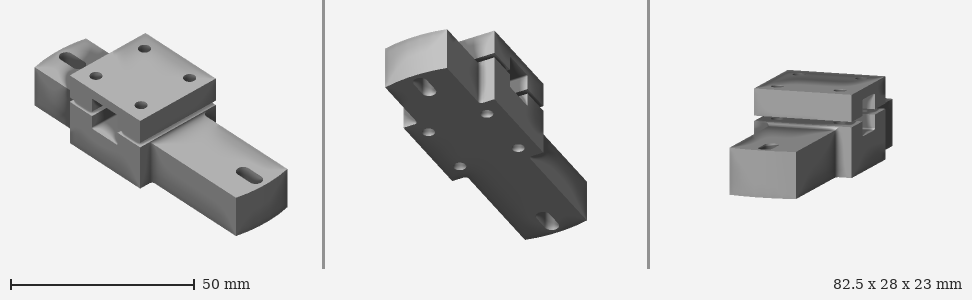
import cadquery as cq

end_diameter = 82.5
bar_width = 19.05
block_side = 28.0
block_center_x = -7.25
block_height = 14.0
fillet_radius = 1.0
bar_height = block_height - fillet_radius

plate_gap = 1.5
plate_thickness = 7.5
plate_bottom = block_height + plate_gap

channel_side = 10.2
channel_center_x = block_center_x - 0.1
channel_roof = 3.0
channel_top = plate_bottom + plate_thickness - channel_roof
channel_radius = 0.5

bolt_diameter = 3.55
bolt_spacing = 18.0
slot_length = 9.0
slot_width = 4.0
slot_spacing = 70.5


def block_at(bottom, height):
    """Square block in line with the clamp, standing on the given level."""
    return (
        cq.Workplane("XY", origin=(block_center_x, 0, bottom))
        .rect(block_side, block_side)
        .extrude(height)
    )


def make_channel():
    """Square bar with rounded corners that cuts both halves of the channel."""
    return (
        cq.Workplane("XY")
        .box(channel_side, block_side, channel_side)
        .edges("|Y")
        .fillet(channel_radius)
        .translate((channel_center_x, 0, channel_top - channel_side / 2))
    )


def make_bolt_holes():
    """Four cylinders through both bodies."""
    return (
        cq.Workplane("XY", origin=(block_center_x, 0, 0))
        .rect(bolt_spacing, bolt_spacing, forConstruction=True)
        .vertices()
        .circle(bolt_diameter / 2)
        .extrude(plate_bottom + plate_thickness)
    )


def make_bar():
    """Straight bar trimmed by a cylinder to give its rounded ends."""
    cylinder = cq.Workplane("XY").circle(end_diameter / 2).extrude(bar_height)
    bar = cq.Workplane("XY").rect(end_diameter, bar_width).extrude(bar_height)
    return bar.intersect(cylinder)


def make_collar():
    """Concave fillets on the top and sides of the bar at both block faces."""
    length = block_side + 2 * fillet_radius
    width = bar_width + 2 * fillet_radius
    collar = (
        cq.Workplane("XY", origin=(block_center_x, 0, 0))
        .rect(length, width)
        .extrude(block_height)
    )
    for side in (-1, 1):
        axis_x = block_center_x + side * length / 2
        side_rounds = (
            cq.Workplane("XY")
            .pushPoints([(axis_x, -width / 2), (axis_x, width / 2)])
            .circle(fillet_radius)
            .extrude(block_height)
        )
        top_round = (
            cq.Workplane("XZ", origin=(axis_x, width / 2, block_height))
            .circle(fillet_radius)
            .extrude(width)
        )
        collar = collar.cut(side_rounds).cut(top_round)
    return collar


def make_slots():
    """Mounting slots near the two ends of the bar."""
    return (
        cq.Workplane("XY")
        .pushPoints([(-slot_spacing / 2, 0), (slot_spacing / 2, 0)])
        .slot2D(slot_length, slot_width)
        .extrude(bar_height)
    )


def make_base():
    """Bar and lower clamp block in one piece."""
    body = make_bar().union(make_collar()).union(block_at(0, block_height))
    return body.cut(make_slots()).cut(make_channel()).cut(make_bolt_holes())


def make_plate():
    """Upper clamp half."""
    body = block_at(plate_bottom, plate_thickness)
    return body.cut(make_channel()).cut(make_bolt_holes())


base = make_base()
plate = make_plate()
result = cq.Compound.makeCompound([base.solids().val(), plate.solids().val()])